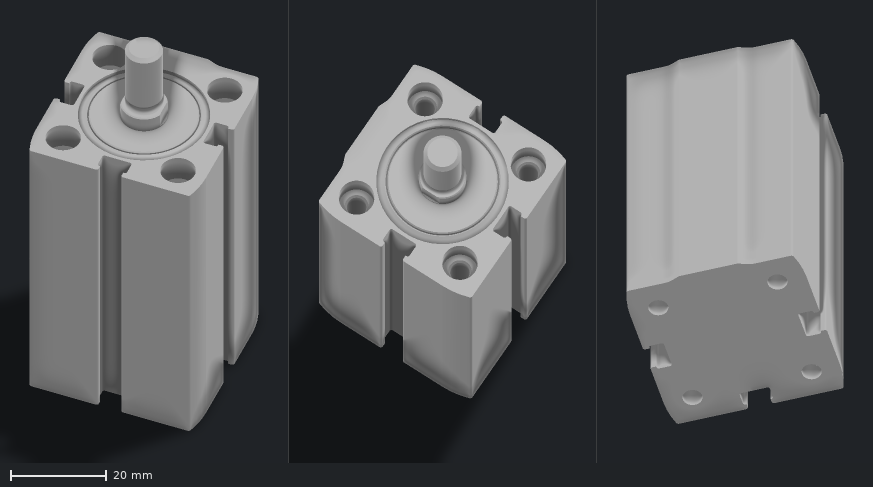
import cadquery as cq
import math


housing_width = 38.5
half_width = housing_width / 2
housing_height = 69.0

side_flat_half = 12.8
side_arc_radius = 18.5
corner_fillet = 0.6

pad_rise = 1.0
pad_top_half = 6.4
pad_base_half = 8.9
pad_blend_radius = 5.5

slot_mouth_width = 5.2
slot_inner_width = 6.6
slot_depth = 4.6
slot_lip = 1.3
slot_fillet = 0.5
slot_angles = (0, 90, -90)

hole_pitch = 26.0
counterbore_dia = 7.5
counterbore_depth = 6.0
thread_dia = 5.0
thread_core_dia = 4.13
thread_depth = 12.0
through_dia = 4.2

seat_outer_dia = 27.8
seat_depth = 1.0
cap_dia = 22.7
groove_depth = 1.0
groove_outer_dia = 23.9
groove_chamfer = 0.25

rod_dia = 10.0
rod_depth = 15.0
rod_mouth_chamfer = 0.2
collar_rise = 3.5
collar_flats = 9.0
collar_chamfer = 0.25
neck_dia = 6.4
neck_length = 2.3
neck_lower_fillet = 0.6
neck_upper_fillet = 1.0
rod_thread_dia = 8.0
rod_tip_chamfer = 0.8
rod_reach = 19.5

rod_base_z = housing_height - rod_depth
collar_top_z = housing_height + collar_rise


def revolve_about_z(points):
    """Turn a closed outline of (radius, z) points about the Z axis."""
    return cq.Workplane("XZ").polyline(points).close().revolve(360, (0, 0, 0), (0, 1, 0))


def fillet_upright_edge(body, x, y, radius):
    """Round the vertical edge of the housing that stands at (x, y)."""
    edge_middle = (x, y, housing_height / 2)
    return body.edges(cq.selectors.NearestToPointSelector(edge_middle)).fillet(radius)


def side_wall_x(y):
    """X of the curved part of the side wall, which leaves the flat part tangentially."""
    return half_width - side_arc_radius + math.sqrt(side_arc_radius**2 - (y - side_flat_half) ** 2)


def housing_block():
    corner_x = side_wall_x(half_width)
    mid_y = (side_flat_half + half_width) / 2
    mid_x = side_wall_x(mid_y)
    block = (
        cq.Workplane("XY")
        .moveTo(-corner_x, -half_width)
        .lineTo(corner_x, -half_width)
        .threePointArc((mid_x, -mid_y), (half_width, -side_flat_half))
        .lineTo(half_width, side_flat_half)
        .threePointArc((mid_x, mid_y), (corner_x, half_width))
        .lineTo(-corner_x, half_width)
        .threePointArc((-mid_x, mid_y), (-half_width, side_flat_half))
        .lineTo(-half_width, -side_flat_half)
        .threePointArc((-mid_x, -mid_y), (-corner_x, -half_width))
        .close()
        .extrude(housing_height)
    )
    for x in (-corner_x, corner_x):
        for y in (-half_width, half_width):
            block = fillet_upright_edge(block, x, y, corner_fillet)
    return block


def add_pad(body):
    pad_top_y = half_width + pad_rise
    pad = (
        cq.Workplane("XY")
        .polyline([
            (-pad_base_half, 0),
            (-pad_base_half, half_width),
            (-pad_top_half, pad_top_y),
            (pad_top_half, pad_top_y),
            (pad_base_half, half_width),
            (pad_base_half, 0),
        ])
        .close()
        .extrude(housing_height)
    )
    body = body.union(pad)
    for x in (-pad_base_half, pad_base_half):
        body = fillet_upright_edge(body, x, half_width, pad_blend_radius)
    return body


def slot_cutter():
    """T-slot for the -Y face."""
    mouth = (
        cq.Workplane("XY")
        .center(0, -half_width + slot_lip)
        .rect(slot_mouth_width, 2 * slot_lip)
        .extrude(housing_height)
    )
    inner = (
        cq.Workplane("XY")
        .center(0, -half_width + (slot_lip + slot_depth) / 2)
        .rect(slot_inner_width, slot_depth - slot_lip)
        .extrude(housing_height)
        .edges("|Z")
        .fillet(slot_fillet)
    )
    return mouth.union(inner)


def cut_slot(body, angle):
    """Cut one T-slot and round the two outer edges of its mouth."""
    body = body.cut(slot_cutter().rotate((0, 0, 0), (0, 0, 1), angle))
    turn = math.radians(angle)
    for side in (-1, 1):
        lip_x = side * slot_mouth_width / 2
        lip_y = -half_width
        turned_x = lip_x * math.cos(turn) - lip_y * math.sin(turn)
        turned_y = lip_x * math.sin(turn) + lip_y * math.cos(turn)
        body = fillet_upright_edge(body, turned_x, turned_y, slot_fillet)
    return body


def mounting_hole_cutter():
    floor_z = housing_height - counterbore_depth
    thread_end_z = floor_z - thread_depth
    core_radius = thread_core_dia / 2
    lead_in = thread_dia / 2 - core_radius
    return revolve_about_z([
        (0, 0),
        (through_dia / 2, 0),
        (through_dia / 2, thread_end_z),
        (core_radius, thread_end_z),
        (core_radius, floor_z - lead_in),
        (thread_dia / 2, floor_z),
        (counterbore_dia / 2, floor_z),
        (counterbore_dia / 2, housing_height),
        (0, housing_height),
    ])


def cap_surround_cutter():
    """Chamfered groove around the end cap, and the cone falling from its rim to the seat wall."""
    cap_radius = cap_dia / 2
    groove_inner_radius = cap_radius + groove_chamfer
    groove_outer_radius = groove_outer_dia / 2
    groove_floor_z = housing_height - groove_depth
    chamfer_z = housing_height - groove_chamfer
    seat_outer_radius = seat_outer_dia / 2
    return revolve_about_z([
        (cap_radius, housing_height),
        (groove_inner_radius, chamfer_z),
        (groove_inner_radius, groove_floor_z),
        (groove_outer_radius, groove_floor_z),
        (groove_outer_radius, chamfer_z),
        (groove_outer_radius + groove_chamfer, housing_height),
        (seat_outer_radius, housing_height - seat_depth),
        (seat_outer_radius, housing_height),
    ])


def rod_bore_cutter():
    """Blind bore that holds the rod, with a chamfered mouth."""
    rod_radius = rod_dia / 2
    return revolve_about_z([
        (0, rod_base_z),
        (rod_radius, rod_base_z),
        (rod_radius, housing_height - rod_mouth_chamfer),
        (rod_radius + rod_mouth_chamfer, housing_height),
        (0, housing_height),
    ])


def make_housing():
    body = add_pad(housing_block())
    for angle in slot_angles:
        body = cut_slot(body, angle)
    for x in (-hole_pitch / 2, hole_pitch / 2):
        for y in (-hole_pitch / 2, hole_pitch / 2):
            body = body.cut(mounting_hole_cutter().translate((x, y, 0)))
    return body.cut(cap_surround_cutter()).cut(rod_bore_cutter())


def turned_rod():
    """Plain shank, undercut neck with a 45 degree run-out, and thread cylinder."""
    shank_radius = rod_dia / 2
    neck_radius = neck_dia / 2
    thread_radius = rod_thread_dia / 2
    thread_start_z = collar_top_z + neck_length
    tip_z = housing_height + rod_reach

    lower_mid_offset = neck_lower_fillet * (1 - math.sqrt(0.5))
    lower_mid = (neck_radius + lower_mid_offset, collar_top_z + lower_mid_offset)

    half_bend = math.pi / 8
    runout_corner_z = thread_start_z - (thread_radius - neck_radius)
    tangent_length = neck_upper_fillet * math.tan(half_bend)
    tangent_step = tangent_length * math.sqrt(0.5)
    upper_start_z = runout_corner_z - tangent_length
    upper_mid = (
        neck_radius + neck_upper_fillet * (1 - math.cos(half_bend)),
        upper_start_z + neck_upper_fillet * math.sin(half_bend),
    )

    return (
        cq.Workplane("XZ")
        .moveTo(0, rod_base_z)
        .lineTo(shank_radius, rod_base_z)
        .lineTo(shank_radius, collar_top_z - collar_chamfer)
        .lineTo(shank_radius - collar_chamfer, collar_top_z)
        .lineTo(neck_radius + neck_lower_fillet, collar_top_z)
        .threePointArc(lower_mid, (neck_radius, collar_top_z + neck_lower_fillet))
        .lineTo(neck_radius, upper_start_z)
        .threePointArc(upper_mid, (neck_radius + tangent_step, runout_corner_z + tangent_step))
        .lineTo(thread_radius, thread_start_z)
        .lineTo(thread_radius, tip_z - rod_tip_chamfer)
        .lineTo(thread_radius - rod_tip_chamfer, tip_z)
        .lineTo(0, tip_z)
        .close()
        .revolve(360, (0, 0, 0), (0, 1, 0))
    )


def make_rod():
    """Turned rod with two wrench flats on the collar, facing +X and -X."""
    rod = turned_rod()
    flat_cutter = cq.Workplane("XY").box(rod_dia, rod_dia, collar_rise, centered=(True, True, False))
    for side in (-1, 1):
        cutter_x = side * (collar_flats + rod_dia) / 2
        rod = rod.cut(flat_cutter.translate((cutter_x, 0, housing_height)))
    return rod


housing = make_housing()
piston_rod = make_rod()
result = cq.Compound.makeCompound([housing.solids().val(), piston_rod.solids().val()])